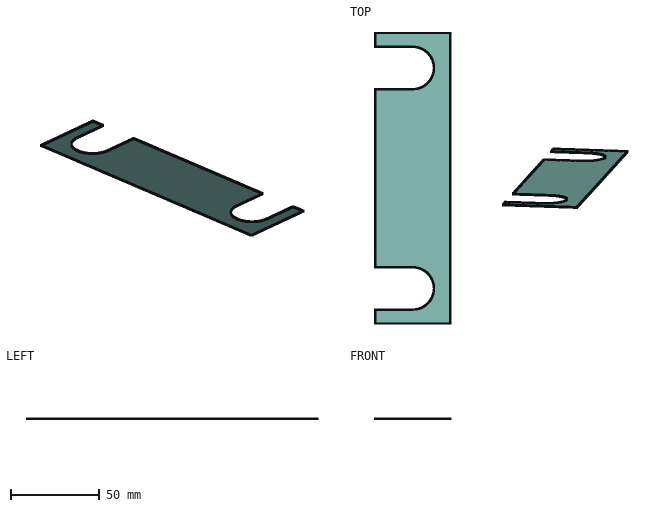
import cadquery as cq

width = 42.5
length = 165.0
thickness = 0.5

slot_width = 24.0
slot_spacing = 125.0
slot_radius = slot_width / 2


def open_slot(center_y):
    """Round-ended slot, centred across the plate and open to its -X edge."""
    straight = (
        cq.Workplane("XY")
        .center(-width / 2, center_y)
        .rect(width, slot_width)
        .extrude(thickness)
    )
    round_end = (
        cq.Workplane("XY")
        .center(0, center_y)
        .circle(slot_radius)
        .extrude(thickness)
    )
    return straight.union(round_end)


result = cq.Workplane("XY").rect(width, length).extrude(thickness)
for side in (-1, 1):
    result = result.cut(open_slot(side * slot_spacing / 2))